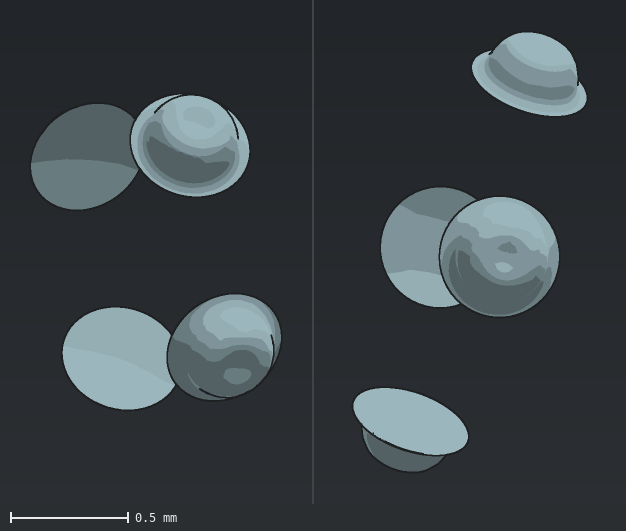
import cadquery as cq
import math

RING_PLACES = 6
PLACE_ANGLE = 360 / RING_PLACES
FILLED_PLACES = (0, 1, 3, 4)

SEAT_DISTANCE = 0.873
RIM_RADIUS = 0.26
WAIST_RADIUS = 0.196
WAIST_HEIGHT = 0.070
SHOULDER_RADIUS = 0.152
SHOULDER_HEIGHT = 0.160
CROWN_RADIUS = 0.084
CROWN_HEIGHT = 0.189
DIMPLE_RADIUS = 0.055

crown_run = SHOULDER_RADIUS - CROWN_RADIUS
crown_drop = CROWN_HEIGHT - SHOULDER_HEIGHT
crown_arc_radius = (crown_run**2 + crown_drop**2) / (2 * crown_drop)
crown_arc_centre = CROWN_HEIGHT - crown_arc_radius

dimple_slope = math.asin((CROWN_RADIUS - DIMPLE_RADIUS) / crown_arc_radius)
dimple_edge_height = crown_arc_centre + crown_arc_radius * math.cos(dimple_slope)
dimple_sphere_radius = DIMPLE_RADIUS / math.sin(dimple_slope)
dimple_depth = DIMPLE_RADIUS * math.tan(dimple_slope / 2)

seat_sphere_radius = math.hypot(SEAT_DISTANCE, RIM_RADIUS)


def make_button():
    """Revolve one button about the Z axis, with its rim at the seat distance from the origin."""
    def at(radius, height):
        return (radius, SEAT_DISTANCE + height)

    profile = (
        cq.Workplane("XZ")
        .moveTo(*at(DIMPLE_RADIUS, dimple_edge_height))
        .threePointArc(at(CROWN_RADIUS, CROWN_HEIGHT), at(SHOULDER_RADIUS, SHOULDER_HEIGHT))
        .tangentArcPoint(at(WAIST_RADIUS, WAIST_HEIGHT), relative=False)
        .tangentArcPoint(at(RIM_RADIUS, 0), relative=False)
        .radiusArc((0, seat_sphere_radius), -seat_sphere_radius)
        .lineTo(*at(0, dimple_edge_height - dimple_depth))
        .radiusArc(at(DIMPLE_RADIUS, dimple_edge_height), -dimple_sphere_radius)
        .close()
    )
    return profile.revolve(360, (0, 0), (0, 1))


def place_button(place):
    """Turn a button about the Y axis from +Z to its place on the ring."""
    return make_button().rotate((0, 0, 0), (0, 1, 0), 90 - place * PLACE_ANGLE)


buttons = [place_button(place) for place in FILLED_PLACES]

result = cq.Compound.makeCompound([button.val() for button in buttons])